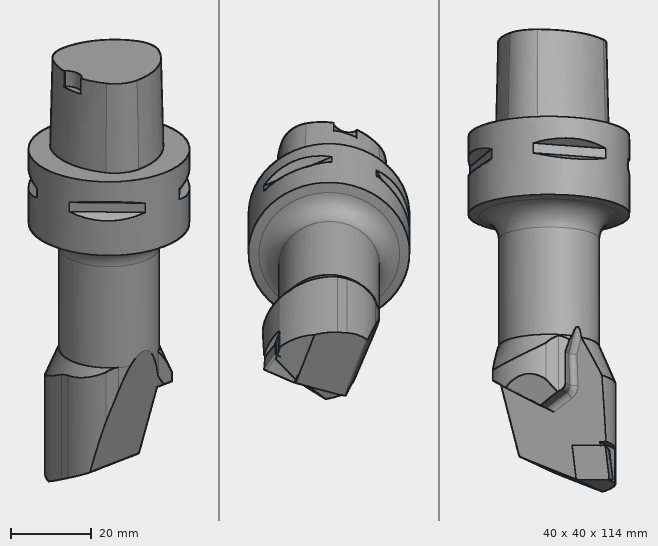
import cadquery as cq
import math

coupling_height = 24.0
lobe_reach = 14.9
flat_reach = 13.3
lobe_radius = 8.7
coupling_taper = 1 / 40
notch_width = 6.0
notch_height = 4.2
notch_radius = 4.3
notch_floor_y = -10.9

flange_radius = 20.0
flange_height = 20.0
slot_centre_z = -8.0
slot_floor_width = 2.5
slot_floor_offset = 17.65
slot_flank_angle = 30.0

shank_radius = 12.5
neck_fillet = 6.0
neck_cone_angle = 10.0
shank_end_z = -53.9

tool_end_z = -90.0
head_radius = 16.7
head_cone_angle = 23.0
head_floor_z = -89.1
head_floor_corner_x = -8.2
head_end_slope = 0.48
relief_start = (12.5, -50.8)
relief_end = (5.9, -82.4)
relief_corner_radius = 1.0

tip_x = -17.0
tip_y = 0.1
rake_slope_x = 0.163
rake_slope_z = 0.103

pocket_wall_x = -8.0
pocket_fillet = 1.6
wall_runout_z = -57.7
wall_end_z = -66.8
runout_slope = 0.30
underside_slope = -0.63
heel_x = -1.5
heel_back_slope = 0.60
wall_end_radius = 2.0
pocket_top_z = -44.0
chamfer_slope_y = 1.85
chamfer_edge_y = 10.9
chamfer_limit_y = 8.0

insert_side = 8.7
insert_corner_angle = 80.0
insert_thickness = 4.7
insert_clearance_angle = 7.0
insert_nose_radius = 0.4
seat_x = -15.1
seat_top_z = -80.4
seat_bottom_y = -6.4

reach = 60.0


def polar(radius, degrees):
    angle = math.radians(degrees)
    return (radius * math.cos(angle), radius * math.sin(angle))


def coupling_wire(inset, z):
    """Three lobes and three flatter sides, all arcs meeting tangentially."""
    lobe_centre = lobe_reach - lobe_radius
    gap = flat_reach - lobe_radius
    side_centre = (lobe_centre ** 2 - gap ** 2) / (2 * gap - lobe_centre)
    side_x, side_y = polar(side_centre, 120)
    turn = math.degrees(math.atan2(side_y, lobe_centre - side_x))
    joint_x = lobe_centre + (lobe_radius - inset) * math.cos(math.radians(turn))
    joint_y = (lobe_radius - inset) * math.sin(math.radians(turn))
    joint_radius = math.hypot(joint_x, joint_y)
    joint_angle = math.degrees(math.atan2(joint_y, joint_x))

    first_lobe = 90
    outline = cq.Workplane("XY", origin=(0, 0, z)).moveTo(*polar(joint_radius, first_lobe - joint_angle))
    for lobe in range(first_lobe, first_lobe + 360, 120):
        lobe_end = polar(joint_radius, lobe + joint_angle)
        outline = outline.threePointArc(polar(lobe_reach - inset, lobe), lobe_end)
        next_joint = polar(joint_radius, lobe + 120 - joint_angle)
        outline = outline.threePointArc(polar(flat_reach - inset, lobe + 60), next_joint)
    return outline.close().val()


def make_coupling():
    wires = [coupling_wire(0, 0), coupling_wire(coupling_taper * coupling_height, coupling_height)]
    taper = cq.Workplane(cq.Solid.makeLoft(wires, True))
    notch = (
        cq.Workplane("XY", origin=(0, notch_floor_y - notch_radius, coupling_height - notch_height))
        .circle(notch_radius)
        .extrude(notch_height)
        .intersect(cq.Workplane("XY").box(notch_width, reach, reach))
    )
    return taper.cut(notch)


def make_shank():
    slope = math.radians(neck_cone_angle)
    fillet_centre_r = shank_radius + neck_fillet
    cone_end_r = fillet_centre_r - neck_fillet * math.sin(slope)
    cone_end_z = -flange_height - (flange_radius - cone_end_r) * math.tan(slope)
    fillet_centre_z = cone_end_z - neck_fillet * math.cos(slope)
    middle = (math.pi / 2 + slope + math.pi) / 2
    fillet_middle = (
        fillet_centre_r + neck_fillet * math.cos(middle),
        fillet_centre_z + neck_fillet * math.sin(middle),
    )
    return (
        cq.Workplane("XZ")
        .lineTo(flange_radius, 0)
        .lineTo(flange_radius, -flange_height)
        .lineTo(cone_end_r, cone_end_z)
        .threePointArc(fillet_middle, (shank_radius, fillet_centre_z))
        .lineTo(shank_radius, shank_end_z)
        .lineTo(0, shank_end_z)
        .close()
        .revolve(360, (0, 0, 0), (0, 1, 0))
    )


def gripper_slot(angle):
    depth = flange_radius - slot_floor_offset
    half_floor = slot_floor_width / 2
    half_mouth = half_floor + depth * math.tan(math.radians(slot_flank_angle))
    return (
        cq.Workplane("XZ", origin=(0, 0, slot_centre_z))
        .moveTo(slot_floor_offset, -half_floor)
        .lineTo(flange_radius, -half_mouth)
        .lineTo(flange_radius, half_mouth)
        .lineTo(slot_floor_offset, half_floor)
        .close()
        .extrude(flange_radius, both=True)
        .rotate((0, 0, 0), (0, 0, 1), angle)
    )


def head_section():
    """Outline of the head across the tool axis, counter-clockwise from the cutting side."""
    corner_y = -6.4
    corner = (-math.sqrt(head_radius ** 2 - corner_y ** 2), corner_y)
    corner_bulge = (-10.9, -11.4)
    flat_y = -13.95
    flat_start_x = -2.6
    flat_end_x = -0.2
    back_corner = (8.8, -9.5)
    shank_join_y = 6.8
    shank_join_x = math.sqrt(shank_radius ** 2 - shank_join_y ** 2)
    crest_y = 15.0
    crest_x = 1.5
    back_shoulder = (8.8, 13.2)
    bevel_outer = (-5.7, 12.3)
    bevel_inner = (-7.9, 9.85)
    rim_end_y = 3.5
    rim_end = (-math.sqrt(head_radius ** 2 - rim_end_y ** 2), rim_end_y)
    return (
        cq.Workplane("XY", origin=(0, 0, tool_end_z))
        .moveTo(flat_start_x, flat_y)
        .lineTo(flat_end_x, flat_y)
        .tangentArcPoint(back_corner, relative=False)
        .lineTo(shank_join_x, -shank_join_y)
        .threePointArc((shank_radius, 0), (shank_join_x, shank_join_y))
        .lineTo(*back_shoulder)
        .threePointArc((crest_x, crest_y), bevel_outer)
        .lineTo(*bevel_inner)
        .lineTo(*rim_end)
        .threePointArc((-head_radius, 0), corner)
        .threePointArc(corner_bulge, (flat_start_x, flat_y))
        .close()
    )


def head_cone():
    drop = shank_end_z - tool_end_z
    end_radius = shank_radius + drop * math.tan(math.radians(head_cone_angle))
    return cq.Workplane(
        cq.Solid.makeCone(end_radius, shank_radius, drop, cq.Vector(0, 0, tool_end_z), cq.Vector(0, 0, 1))
    )


def head_side_profile():
    """Side outline of shank and head: slanted back relief and sloping end face, cut through along Y."""
    relief_end_x, relief_end_z = relief_end
    level_run = relief_end_x - head_floor_corner_x
    back_z = head_floor_z + head_end_slope * level_run
    relief_slope = (relief_start[0] - relief_end_x) / (relief_start[1] - relief_end_z)
    corner = (relief_end_x - relief_slope * (relief_end_z - back_z), back_z)
    body = (
        cq.Workplane("XZ")
        .moveTo(-reach, head_floor_z)
        .lineTo(head_floor_corner_x, head_floor_z)
        .lineTo(*corner)
        .lineTo(*relief_start)
        .lineTo(relief_start[0], shank_end_z / 2)
        .lineTo(reach, shank_end_z / 2)
        .lineTo(reach, reach)
        .lineTo(-reach, reach)
        .close()
        .extrude(reach, both=True)
    )
    nearest = cq.selectors.NearestToPointSelector((corner[0], 0, corner[1]))
    return body.edges("|Y").edges(nearest).fillet(relief_corner_radius)


rake_plane = cq.Plane(
    origin=(tip_x, tip_y, tool_end_z),
    xDir=(1, rake_slope_x, 0),
    normal=(-rake_slope_x, 1, -rake_slope_z),
)


def on_rake(x, z):
    """Place of a point on the rake face: along X from the tip, and downwards from the tip."""
    return (x - tip_x, tool_end_z - z)


def nearest_to_rake(x, z, height):
    """Selects what lies nearest to a point at a height above the rake face."""
    point = rake_plane.toWorldCoords(on_rake(x, z) + (height,))
    return cq.selectors.NearestToPointSelector(point.toTuple())


def chip_pocket():
    top_x = pocket_wall_x - runout_slope * (pocket_top_z - wall_runout_z)
    heel_z = wall_end_z + underside_slope * (heel_x - pocket_wall_x)
    far_z = heel_z + heel_back_slope * (reach - heel_x)
    low_z = tool_end_z - wall_end_radius
    tool = (
        cq.Workplane(rake_plane)
        .moveTo(*on_rake(-reach, pocket_top_z))
        .lineTo(*on_rake(top_x, pocket_top_z))
        .lineTo(*on_rake(pocket_wall_x, wall_runout_z))
        .lineTo(*on_rake(pocket_wall_x, wall_end_z))
        .lineTo(*on_rake(heel_x, heel_z))
        .lineTo(*on_rake(reach, far_z))
        .lineTo(*on_rake(reach, low_z))
        .lineTo(*on_rake(-reach, low_z))
        .close()
        .extrude(reach)
    )
    tool = tool.edges(nearest_to_rake(pocket_wall_x, wall_end_z, reach / 2)).fillet(wall_end_radius)
    runout_root = nearest_to_rake((top_x + pocket_wall_x) / 2, (pocket_top_z + wall_runout_z) / 2, 0)
    wall_root = nearest_to_rake(pocket_wall_x, (wall_runout_z + wall_end_z) / 2, 0)
    roots = [tool.edges(root).val() for root in (runout_root, wall_root)]
    return tool.newObject([tool.val().fillet(pocket_fillet, roots)])


def back_chamfer():
    """Slanted cut under the outer edge of the head behind the chip pocket."""
    plane = cq.Plane(
        origin=(pocket_wall_x, chamfer_edge_y, wall_end_z),
        xDir=(1, 0, underside_slope),
        normal=(underside_slope, chamfer_slope_y, -1),
    )
    tool = cq.Workplane(plane).rect(2 * reach, 2 * reach).extrude(reach)
    keep = cq.Workplane("XY").box(2 * reach, reach, 4 * reach).translate((0, chamfer_limit_y + reach / 2, 0))
    return tool.intersect(keep)


def insert_seat():
    """Flat on the cutting side that clears the insert."""
    seat = cq.Workplane("XY").box(reach, reach, seat_top_z - tool_end_z, centered=False)
    return seat.translate((seat_x - reach, seat_bottom_y, tool_end_z))


def make_insert():
    lead = (90 - insert_corner_angle) / 2
    along_end = polar(insert_side, -lead)
    along_side = polar(insert_side, -lead - insert_corner_angle)
    centre = cq.Vector(along_end[0] + along_side[0], along_end[1] + along_side[1]) / 2
    inradius = insert_side * math.sin(math.radians(insert_corner_angle)) / 2
    half_corner = math.radians(insert_corner_angle / 2)
    overshoot = insert_nose_radius * (math.sin(math.pi / 4) / math.sin(half_corner) - 1)

    def rhombus(depth):
        scale = 1 - depth * math.tan(math.radians(insert_clearance_angle)) / inradius
        sharp_corner = cq.Vector(-overshoot, overshoot)
        corners = [(0, 0), along_end, (centre * 2).toTuple()[:2], along_side]
        points = [sharp_corner + centre + (cq.Vector(*corner) - centre) * scale for corner in corners]
        wire_points = [rake_plane.toWorldCoords((point.x, point.y, -depth)) for point in points]
        return cq.Wire.makePolygon(wire_points, close=True)

    insert = cq.Workplane(cq.Solid.makeLoft([rhombus(0), rhombus(insert_thickness)], True))
    nose = nearest_to_rake(tip_x, tool_end_z, -insert_thickness / 2)
    return insert.edges(nose).fillet(insert_nose_radius)


insert = make_insert()
head = head_section().extrude(shank_end_z - tool_end_z).intersect(head_cone())
holder = make_shank().union(make_coupling()).union(head)
for quarter in range(4):
    holder = holder.cut(gripper_slot(45 + 90 * quarter))
holder = holder.intersect(head_side_profile())
holder = holder.cut(chip_pocket()).cut(back_chamfer()).cut(insert_seat()).cut(insert)

result = cq.Compound.makeCompound([holder.val(), insert.val()])